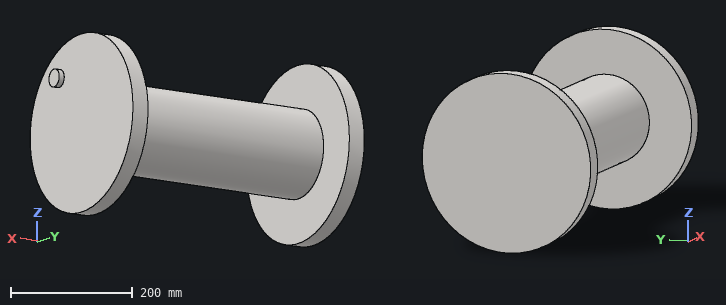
import cadquery as cq

flange_diameter = 300.0
flange_thickness = 30.0
drum_diameter = 150.0
drum_length = 400.0
pin_diameter = 30.0
pin_length = 10.0
pin_y = -65.0
pin_z = 86.0

drum_start = flange_thickness
far_flange_start = drum_start + drum_length
pin_start = far_flange_start + flange_thickness


def cylinder_along_x(diameter, length, start_x, y=0.0, z=0.0):
    """Solid cylinder parallel to X, running from start_x toward +X."""
    return (
        cq.Workplane("YZ", origin=(start_x, y, z))
        .circle(diameter / 2)
        .extrude(length)
    )


result = cylinder_along_x(drum_diameter, drum_length, drum_start)
for flange_start in (0.0, far_flange_start):
    flange = cylinder_along_x(flange_diameter, flange_thickness, flange_start)
    result = result.union(flange)

pin = cylinder_along_x(pin_diameter, pin_length, pin_start, pin_y, pin_z)
result = result.union(pin)